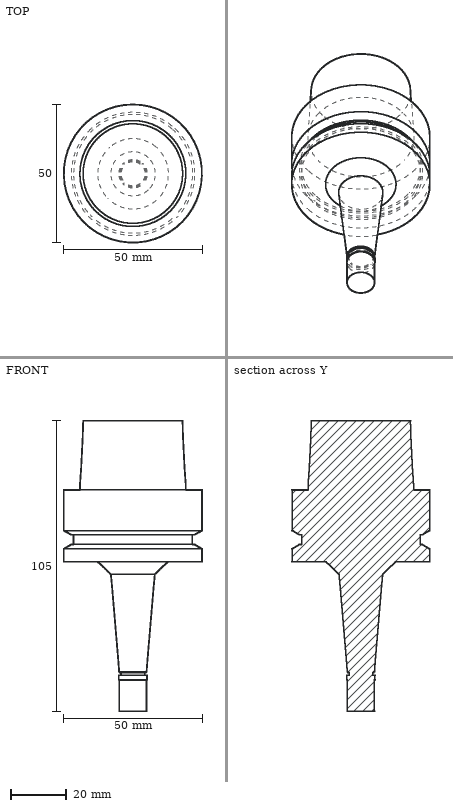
import cadquery as cq
import math

shank_height = 25.0
shank_top_diameter = 36.0
shank_base_diameter = 38.3
shank_base_height = 2.2

flange_diameter = 50.0
flange_thickness = 26.0
groove_diameter = 43.0
groove_land_diameter = 44.6
groove_center_depth = 18.0
groove_floor_width = 3.45
groove_flank_angle = 30.0

collar_top_diameter = 25.5
collar_height = 4.5
neck_top_diameter = 16.0
neck_end_diameter = 10.0
neck_end_chamfer = 0.3

nose_length = 80.0
relief_top_depth = 66.0
relief_bottom_depth = 66.9
relief_diameter = 8.7
ring_diameter = 10.3
ring_bottom_depth = 68.75
pin_diameter = 10.0

shank_base_radius = shank_base_diameter / 2
flange_radius = flange_diameter / 2
groove_radius = groove_diameter / 2
groove_land_radius = groove_land_diameter / 2
neck_end_radius = neck_end_diameter / 2
relief_radius = relief_diameter / 2
ring_radius = ring_diameter / 2
pin_radius = pin_diameter / 2


def add_shank(profile):
    """Tapered shank with a short cylindrical base, from the axis down to the flange face."""
    return (
        profile.moveTo(0, shank_height)
        .lineTo(shank_top_diameter / 2, shank_height)
        .lineTo(shank_base_radius, shank_base_height)
        .lineTo(shank_base_radius, 0)
    )


def add_flange(profile):
    """Flange with its gripper groove: sloped flanks, flat lands and a straight floor."""
    floor_top = groove_floor_width / 2 - groove_center_depth
    floor_bottom = floor_top - groove_floor_width
    flank_height = (flange_radius - groove_land_radius) * math.tan(math.radians(groove_flank_angle))
    return (
        profile.lineTo(flange_radius, 0)
        .lineTo(flange_radius, floor_top + flank_height)
        .lineTo(groove_land_radius, floor_top)
        .lineTo(groove_radius, floor_top)
        .lineTo(groove_radius, floor_bottom)
        .lineTo(groove_land_radius, floor_bottom)
        .lineTo(flange_radius, floor_bottom - flank_height)
        .lineTo(flange_radius, -flange_thickness)
    )


def add_neck(profile):
    """Conical collar below the flange, then the slender tapered neck with a chamfered end."""
    return (
        profile.lineTo(collar_top_diameter / 2, -flange_thickness)
        .lineTo(neck_top_diameter / 2, -flange_thickness - collar_height)
        .lineTo(neck_end_radius, neck_end_chamfer - relief_top_depth)
        .lineTo(neck_end_radius - neck_end_chamfer, -relief_top_depth)
    )


def add_tip(profile):
    """Relief groove below the neck, chamfered ring and cylindrical pin."""
    ring_chamfer = ring_radius - pin_radius
    return (
        profile.lineTo(relief_radius, -relief_top_depth)
        .lineTo(relief_radius, -relief_bottom_depth)
        .lineTo(ring_radius, -relief_bottom_depth)
        .lineTo(ring_radius, ring_chamfer - ring_bottom_depth)
        .lineTo(pin_radius, -ring_bottom_depth)
        .lineTo(pin_radius, -nose_length)
        .lineTo(0, -nose_length)
    )


half_profile = add_shank(cq.Workplane("YZ"))
half_profile = add_flange(half_profile)
half_profile = add_neck(half_profile)
half_profile = add_tip(half_profile)
result = half_profile.close().revolve(360, (0, 0, 0), (0, 1, 0))